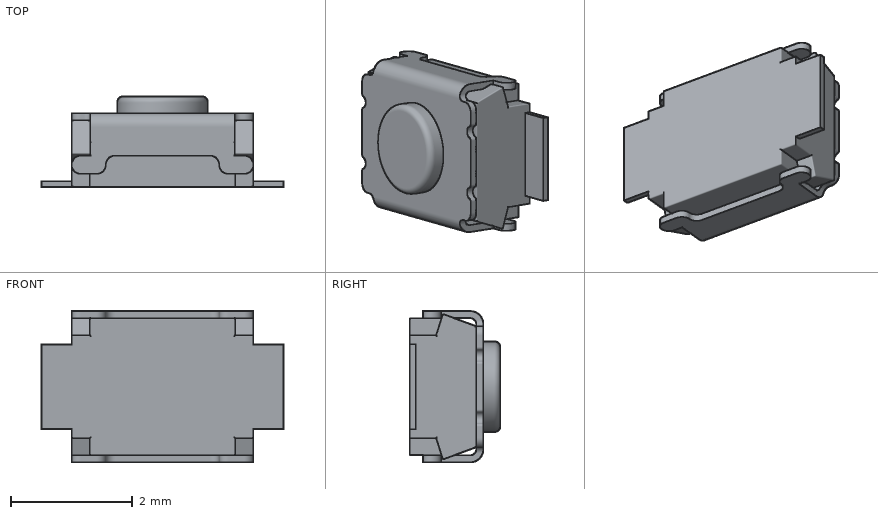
import cadquery as cq


overall_width = 4.0
overall_depth = 1.5
overall_height = 2.5

body_width = 3.0
body_top = 1.1
body_top_height = 2.0
ridge_y = 0.55
ridge_height = 2.4
corner_floor_y = 0.44
corner_floor_height = 1.7
foot_block_width = 2.4
body_rounding = 0.02

cover_top = 1.22
cover_thickness = 0.12
leg_gap = overall_height - 2 * cover_thickness
bend_radius = 0.22
arm_width = 2.38
shoulder_height = 2.0
shoulder_radius = 0.15
arm_root_radius = 0.1
notch_radius = 0.1
notch_lip_radius = 0.05
notch_z = 0.515

leg_end_y = 0.22
hook_radius = 0.15
hook_neck_x = 0.935
leg_join_y = 0.8

terminal_thickness = 0.1
terminal_height = 1.4
button_radius = 0.75
button_rounding = 0.1


def box_on_y(width, y_start, y_end, height):
    """Box centred on x = 0 and z = 0 that spans y_start to y_end."""
    box = cq.Workplane("XY").box(width, y_end - y_start, height)
    return box.translate((0, (y_start + y_end) / 2, 0))


def make_body():
    """Prism with sloped sides and four corner pockets around a central foot block."""
    upper_outline = [
        (0, corner_floor_height / 2),
        (corner_floor_y, corner_floor_height / 2),
        (ridge_y, ridge_height / 2),
        (body_top, body_top_height / 2),
    ]
    lower_outline = [(y, -z) for y, z in reversed(upper_outline)]
    prism = (
        cq.Workplane("YZ")
        .polyline(upper_outline + lower_outline)
        .close()
        .extrude(body_width / 2, both=True)
    )
    ridge_edges = prism.edges("|X").edges(">Z or <Z")
    end_edges = prism.faces("<X or >X").edges("not(<Y)")
    floor_edges = prism.faces("<Y").edges("|X")
    rounded_edges = ridge_edges.vals() + end_edges.vals() + floor_edges.vals()
    prism = prism.newObject(rounded_edges).fillet(body_rounding)

    foot_block = box_on_y(foot_block_width, 0, ridge_y, leg_gap)
    foot_block = foot_block.edges("|Y").fillet(body_rounding)
    foot_block = foot_block.faces("<Y").edges().fillet(body_rounding)
    return prism.union(foot_block)


def make_cover_channel():
    """Full-width U-shaped sheet that the cover is cut from."""
    outer = box_on_y(body_width, leg_end_y, cover_top, overall_height)
    outer = outer.faces(">Y").edges("|X").fillet(bend_radius)
    inner_top = cover_top - cover_thickness
    inner = box_on_y(body_width, leg_end_y, inner_top, leg_gap)
    inner = inner.faces(">Y").edges("|X").fillet(bend_radius - cover_thickness)
    return outer.cut(inner)


def make_plate_outline():
    """Plate seen along Y: rounded shoulders, narrower arms and two notches on each side."""
    plate = box_on_y(body_width, leg_join_y, cover_top, shoulder_height)
    plate = plate.edges("|Y").fillet(shoulder_radius)

    notches = (
        cq.Workplane("XZ")
        .rect(body_width, 2 * notch_z, forConstruction=True)
        .vertices()
        .circle(notch_radius)
        .extrude(-cover_top)
    )
    plate = plate.cut(notches)
    lip_reach = notch_z + 2 * notch_radius
    lip_zone = cq.selectors.BoxSelector(
        (-body_width, 0, -lip_reach), (body_width, overall_depth, lip_reach)
    )
    plate = plate.edges("|Y").edges(lip_zone).fillet(notch_lip_radius)

    plate = plate.union(box_on_y(arm_width, leg_join_y, cover_top, overall_height))
    root_reach_x = arm_width / 2 + arm_root_radius
    root_reach_z = shoulder_height / 2 + arm_root_radius
    root_zone = cq.selectors.BoxSelector(
        (-root_reach_x, 0, -root_reach_z), (root_reach_x, overall_depth, root_reach_z)
    )
    return plate.edges("|Y").edges(root_zone).fillet(arm_root_radius)


def make_leg_outline():
    """Legs seen along Z: an arm that ends in two outward hooks with round tips."""
    hook_top_y = leg_end_y + 2 * hook_radius
    hook_middle_y = leg_end_y + hook_radius
    tip_centre_x = body_width / 2 - hook_radius
    half_leg = (
        cq.Workplane("XY")
        .moveTo(0, hook_top_y)
        .lineTo(hook_neck_x - hook_radius, hook_top_y)
        .tangentArcPoint((hook_neck_x, hook_middle_y), relative=False)
        .tangentArcPoint((hook_neck_x + hook_radius, leg_end_y), relative=False)
        .lineTo(tip_centre_x, leg_end_y)
        .tangentArcPoint((tip_centre_x, hook_top_y), relative=False)
        .lineTo(arm_width / 2, hook_top_y)
        .lineTo(arm_width / 2, leg_join_y)
        .lineTo(0, leg_join_y)
        .close()
        .extrude(overall_height / 2, both=True)
    )
    return half_leg.union(half_leg.mirror("YZ"))


def make_cover():
    """Bent sheet trimmed to the plate and leg outlines."""
    outline = make_plate_outline().union(make_leg_outline())
    return make_cover_channel().intersect(outline)


def make_terminals():
    """One strip flush with the mounting face that sticks out on both sides."""
    return box_on_y(overall_width, 0, terminal_thickness, terminal_height)


def make_button():
    """Round button that rises from the body through the cover."""
    button = cq.Workplane("XZ").circle(button_radius).extrude(-overall_depth)
    button = button.faces(">Y").edges().fillet(button_rounding)
    above_body = box_on_y(body_width, body_top, overall_depth, overall_height)
    return button.intersect(above_body)


result = make_body().union(make_cover()).union(make_terminals()).union(make_button())